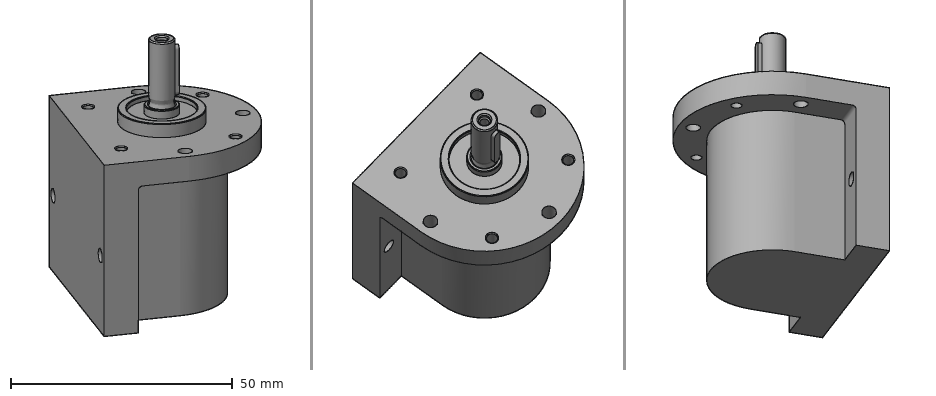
import cadquery as cq
import math

total_height = 61.7
housing_width = 45.0
housing_depth = 42.5
housing_height = 41.5
flange_thickness = 6.0
plate_thickness = 8.0
inner_fillet = 1.0
gearbox_radius = 14.9

flange_radius = housing_width / 2
front_y = flange_radius - housing_depth
plate_back_y = front_y + plate_thickness
flange_bottom_z = housing_height - flange_thickness

boss_diameter = 20.0
boss_height = 3.35
boss_chamfer = 0.2
recess_diameter = 16.0
recess_depth = 1.2
recess_chamfer = 0.2
boss_top_z = housing_height + boss_height
recess_floor_z = boss_top_z - recess_depth

shaft_diameter = 6.0
shaft_length = 14.05
shaft_chamfer = 0.3
neck_diameter = 5.4
shoulder_taper_height = 1.0
collar_diameter = 8.0
collar_height = 2.05
collar_chamfer = 0.2
collar_inner_diameter = 6.55
collar_inner_chamfer = 0.25
flare_height = 0.7
shaft_bottom_z = total_height - shaft_length
collar_top_z = recess_floor_z + collar_height

centre_hole_diameter = 2.05
centre_hole_depth = 6.0
centre_bore_diameter = 2.7
centre_bore_depth = 1.0
centre_chamfer = 0.3

bolt_circle_radius = 19.0
clearance_diameter = 3.3
thread_diameter = 2.45
thread_chamfer = 0.25
front_hole_x = 19.25
front_hole_z = 18.45
drill_tip_angle = 118.0

key_width = 2.0
key_height = 2.0
key_length = 12.15
key_outer_y = 3.8
key_top_gap = 1.85


def cylinder(radius, bottom_z, height):
    return cq.Workplane("XY").workplane(offset=bottom_z).circle(radius).extrude(height)


def u_shape(radius, straight_end_y, bottom_z, height):
    """Prism with a half-round back and straight sides running to straight_end_y."""
    return (
        cq.Workplane("XY")
        .workplane(offset=bottom_z)
        .moveTo(-radius, straight_end_y)
        .lineTo(radius, straight_end_y)
        .lineTo(radius, 0)
        .threePointArc((0, radius), (-radius, 0))
        .close()
        .extrude(height)
    )


def drilled_hole(diameter, depth, chamfer, top_z):
    """Cutter for a chamfered blind hole on the Z axis with a conical bottom."""
    radius = diameter / 2
    tip_depth = radius / math.tan(math.radians(drill_tip_angle / 2))
    return (
        cq.Workplane("XZ")
        .moveTo(0, top_z)
        .lineTo(radius + chamfer, top_z)
        .lineTo(radius, top_z - chamfer)
        .lineTo(radius, top_z - depth)
        .lineTo(0, top_z - depth - tip_depth)
        .close()
        .revolve(360, (0, 0, 0), (0, 1, 0))
    )


def make_bracket():
    """Angle bracket: a vertical front plate and a round-backed flange on top."""
    flange = u_shape(flange_radius, front_y, flange_bottom_z, flange_thickness)
    plate = cq.Workplane("XY").box(
        housing_width, plate_thickness, housing_height, centered=(True, False, False)
    )
    bracket = flange.union(plate.translate((0, front_y, 0)))
    inner_corner = cq.selectors.NearestToPointSelector((0, plate_back_y, flange_bottom_z))
    return bracket.edges("|X").edges(inner_corner).fillet(inner_fillet)


def make_boss():
    boss = cylinder(boss_diameter / 2, housing_height, boss_height)
    boss = boss.faces(">Z").edges().chamfer(boss_chamfer)
    recess = cylinder(recess_diameter / 2, recess_floor_z, recess_depth)
    recess = recess.union(
        cq.Workplane("XY")
        .workplane(offset=boss_top_z)
        .circle(recess_diameter / 2 + recess_chamfer)
        .workplane(offset=-recess_chamfer)
        .circle(recess_diameter / 2)
        .loft()
    )
    return boss.cut(recess)


def make_shaft():
    """Stepped output shaft with its collar, neck and threaded centre hole."""
    shaft_radius = shaft_diameter / 2
    neck_radius = neck_diameter / 2
    collar_radius = collar_diameter / 2
    shaft = (
        cq.Workplane("XZ")
        .moveTo(0, recess_floor_z)
        .lineTo(collar_radius, recess_floor_z)
        .lineTo(collar_radius, collar_top_z - collar_chamfer)
        .lineTo(collar_radius - collar_chamfer, collar_top_z)
        .lineTo(collar_inner_diameter / 2, collar_top_z)
        .lineTo(shaft_radius, collar_top_z - collar_inner_chamfer)
        .lineTo(neck_radius, collar_top_z + flare_height)
        .lineTo(neck_radius, shaft_bottom_z - shoulder_taper_height)
        .lineTo(shaft_radius, shaft_bottom_z)
        .lineTo(shaft_radius, total_height - shaft_chamfer)
        .lineTo(shaft_radius - shaft_chamfer, total_height)
        .lineTo(0, total_height)
        .close()
        .revolve(360, (0, 0, 0), (0, 1, 0))
    )
    centre_bore = drilled_hole(centre_bore_diameter, centre_bore_depth, centre_chamfer, total_height)
    bore_taper = (centre_bore_diameter - centre_hole_diameter) / 2
    bore_floor_z = total_height - centre_bore_depth
    centre_hole = drilled_hole(centre_hole_diameter, centre_hole_depth, bore_taper, bore_floor_z)
    return shaft.cut(centre_bore).cut(centre_hole)


def cut_flange_holes(housing):
    """Clearance holes at the sides and back, threaded holes on the diagonals."""
    clearance_hole = cylinder(clearance_diameter / 2, flange_bottom_z, flange_thickness)
    threaded_hole = drilled_hole(thread_diameter, flange_thickness, thread_chamfer, housing_height)
    for angles, cutter in (((0, 90, 180), clearance_hole), ((45, 135, 225, 315), threaded_hole)):
        for angle in angles:
            x = bolt_circle_radius * math.cos(math.radians(angle))
            y = bolt_circle_radius * math.sin(math.radians(angle))
            housing = housing.cut(cutter.translate((x, y, 0)))
    return housing


def cut_front_holes(housing):
    cutters = (
        cq.Workplane("XZ", origin=(0, front_y, 0))
        .pushPoints([(side * front_hole_x, front_hole_z) for side in (-1, 1)])
        .circle(clearance_diameter / 2)
        .extrude(-plate_thickness)
    )
    return housing.cut(cutters)


def make_key():
    """Round-ended parallel key on the +Y side of the shaft."""
    centre_z = total_height - key_top_gap - key_length / 2
    return (
        cq.Workplane("XZ", origin=(0, key_outer_y, centre_z))
        .slot2D(key_length, key_width, 90)
        .extrude(key_height)
    )


key = make_key()
gearbox = u_shape(gearbox_radius, plate_back_y, 0, flange_bottom_z)
gear_unit = make_bracket().union(gearbox).union(make_boss()).union(make_shaft())
gear_unit = cut_flange_holes(gear_unit)
gear_unit = cut_front_holes(gear_unit)
gear_unit = gear_unit.cut(key)

result = cq.Compound.makeCompound([gear_unit.solids().val(), key.val()])